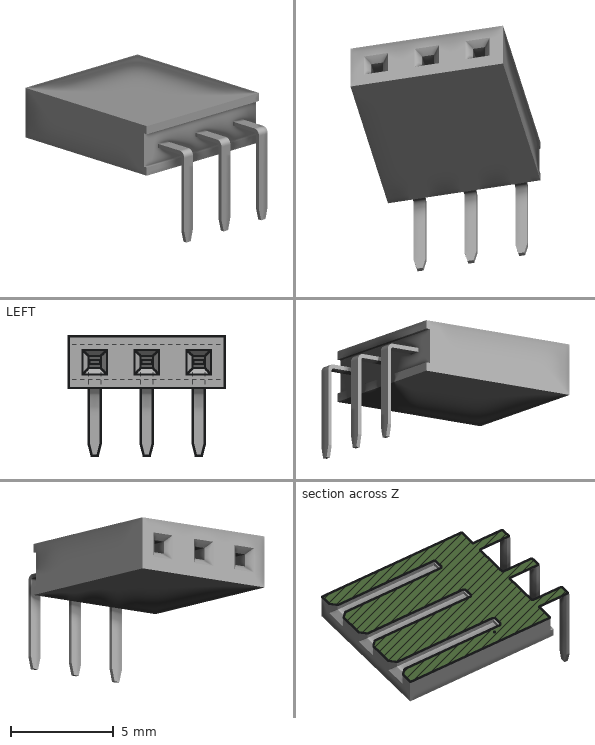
import cadquery as cq


contact_count = 3
pitch = 2.54
housing_length = 8.51
housing_width = contact_count * pitch
housing_height = pitch

relief_depth = 0.2
relief_lip_height = 0.42
relief_height = housing_height - 2 * relief_lip_height

socket_size = 0.6
lead_in_depth = 0.3
lead_in_size = socket_size + 2 * lead_in_depth
socket_depth = 6.0

pin_width = 0.6
pin_thickness = 0.2
pin_reach = 10.13
pin_drop = 3.3
bend_outer_radius = 0.3
bend_inner_radius = bend_outer_radius - pin_thickness
pin_tip_length = 0.6
pin_tip_width = 0.3

seat_depth = 0.05
seat_floor_width = socket_size - 2 * seat_depth

pin_embedment = 0.5
pin_bottom = -housing_height / 2 - pin_drop
contact_positions = [(i - (contact_count - 1) / 2) * pitch for i in range(contact_count)]


def make_housing():
    """Rectangular block with a relief channel along its rear face."""
    block = cq.Workplane("XY").box(
        housing_length, housing_width, housing_height, centered=(False, True, True)
    )
    relief = (
        cq.Workplane("XY")
        .box(relief_depth, housing_width, relief_height, centered=(False, True, True))
        .translate((housing_length - relief_depth, 0, 0))
    )
    return block.cut(relief)


def make_socket_cavity(y):
    """Square blind hole with a pyramid lead-in and a narrow seat in its floor."""
    lead_in = (
        cq.Workplane("YZ", origin=(0, y, 0))
        .rect(lead_in_size, lead_in_size)
        .workplane(offset=lead_in_depth)
        .rect(socket_size, socket_size)
        .loft(ruled=True)
    )
    hole = cq.Workplane("YZ", origin=(0, y, 0)).rect(socket_size, socket_size).extrude(socket_depth)
    seat = (
        cq.Workplane("YZ", origin=(socket_depth, y, 0))
        .rect(socket_size, pin_thickness)
        .workplane(offset=seat_depth)
        .rect(seat_floor_width, pin_thickness)
        .loft(ruled=True)
    )
    return lead_in.union(hole).union(seat)


def make_pin(y):
    """Flat strip leaving the rear face, bent down and narrowed at its tip."""
    start = housing_length - relief_depth - pin_embedment
    top = pin_thickness / 2
    inner_face = pin_reach - pin_thickness
    strip = (
        cq.Workplane("XZ", origin=(0, y, 0))
        .moveTo(start, top)
        .lineTo(pin_reach - bend_outer_radius, top)
        .tangentArcPoint((bend_outer_radius, -bend_outer_radius), relative=True)
        .lineTo(pin_reach, pin_bottom)
        .lineTo(inner_face, pin_bottom)
        .lineTo(inner_face, -top - bend_inner_radius)
        .tangentArcPoint((-bend_inner_radius, bend_inner_radius), relative=True)
        .lineTo(start, -top)
        .close()
        .extrude(pin_width / 2, both=True)
    )
    tip_outline = (
        cq.Workplane("YZ", origin=(start, y, 0))
        .moveTo(-pin_width / 2, top)
        .lineTo(pin_width / 2, top)
        .lineTo(pin_width / 2, pin_bottom + pin_tip_length)
        .lineTo(pin_tip_width / 2, pin_bottom)
        .lineTo(-pin_tip_width / 2, pin_bottom)
        .lineTo(-pin_width / 2, pin_bottom + pin_tip_length)
        .close()
        .extrude(pin_reach - start)
    )
    return strip.intersect(tip_outline)


result = make_housing()
for contact_y in contact_positions:
    result = result.cut(make_socket_cavity(contact_y)).union(make_pin(contact_y))